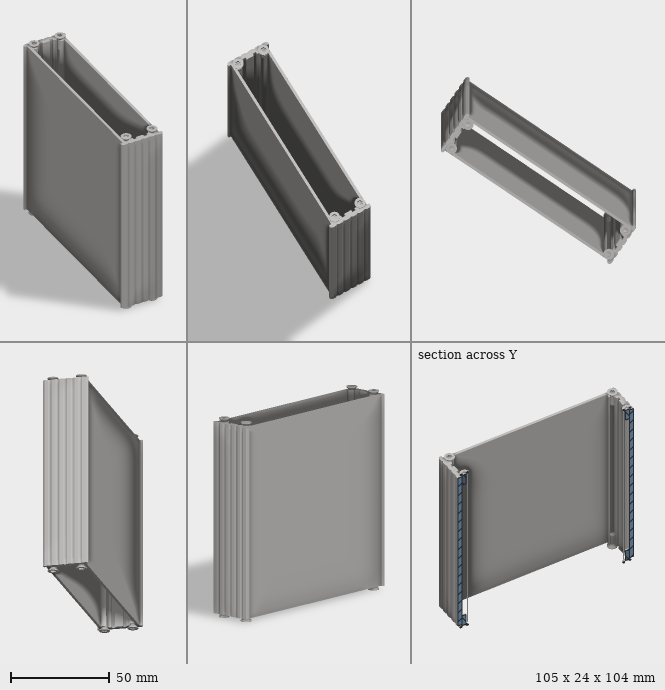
import cadquery as cq
import math

width = 105.0
depth = 24.0
height = 104.0
shell_height = 100.1
half_width = width / 2
half_depth = depth / 2

panel_recess = 1.5
panel_thickness = 1.5
wall_end_x = half_width - 2.0
wall_inner_x = half_width - 2.3
block_inner_x = half_width - 3.6
slot_inner_y = 2.1
slot_outer_y = 4.0
panel_outer_y = half_depth - panel_recess
panel_inner_y = panel_outer_y - panel_thickness

rib_count = 6
rib_pitch = depth / rib_count
rib_width = rib_pitch / 2
groove_floor = 0.4
groove_depth = 0.4
corner_radius = 0.5

hook_root_x = half_width - 1.3
hook_tip_x = half_width - 1.7
hook_inner_x = half_width - 2.1
hook_tip_y = 0.8
hook_bend_y = -0.4

screw_spacing_x = 97.0
screw_spacing_y = 15.0
screw_x = screw_spacing_x / 2
screw_y = screw_spacing_y / 2
shank_diameter = 2.7
screw_length = 8.0
head_diameter = 5.6
head_rim = 0.4
recess_diameter = 2.9
recess_depth = 0.9
recess_tip = 0.4
lobe_count = 6
lobe_notch_diameter = 0.6
port_diameter = 4.8
port_slit_width = 2.2
port_slit_angle = 60

LEFT, RIGHT = -1, 1


def prism(section):
    return section.extrude(shell_height / 2, both=True)


def rectangle(x0, x1, y0, y1):
    section = cq.Workplane("XY").center((x0 + x1) / 2, (y0 + y1) / 2)
    return prism(section.rect(abs(x1 - x0), abs(y1 - y0)))


def joint_lip(side):
    """Middle of the side wall that lies on the -Y side of the snap joint."""
    outline = [
        (half_width, 0),
        (hook_root_x, 0),
        (hook_tip_x, hook_tip_y),
        (hook_inner_x, hook_tip_y),
        (hook_inner_x, hook_bend_y),
        (hook_root_x, -slot_inner_y),
        (wall_inner_x, -slot_inner_y),
        (wall_inner_x, -slot_outer_y),
        (half_width, -slot_outer_y),
    ]
    return prism(cq.Workplane("XY").polyline([(side * x, y) for x, y in outline]).close())


def joint_block(side):
    """Block at the middle of the side wall, on the +Y side of the snap joint."""
    block = rectangle(side * block_inner_x, side * half_width, -slot_inner_y, slot_inner_y)
    return block.cut(joint_lip(side))


def wall_end(side):
    """End of the side wall beside and past the panel, bevelled off the last rib and rounded."""
    outer_x = half_width - groove_depth
    rib_edge_y = half_depth - rib_width / 2
    round_y = half_depth - corner_radius
    arc_inset = corner_radius * (1 - math.sqrt(0.5))
    section = (
        cq.Workplane("XY")
        .moveTo(side * wall_end_x, slot_outer_y)
        .lineTo(side * half_width, slot_outer_y)
        .lineTo(side * half_width, rib_edge_y)
        .lineTo(side * outer_x, round_y)
        .threePointArc(
            (side * (outer_x - arc_inset), half_depth - arc_inset),
            (side * (outer_x - corner_radius), half_depth),
        )
        .lineTo(side * (wall_end_x + corner_radius), half_depth)
        .threePointArc(
            (side * (wall_end_x + arc_inset), half_depth - arc_inset),
            (side * wall_end_x, round_y),
        )
        .close()
    )
    return prism(section)


def side_wall(side):
    """Side wall of the +Y shell, from the card slot to the wall end."""
    wall = rectangle(side * wall_inner_x, side * half_width, slot_inner_y, panel_inner_y)
    return wall.union(wall_end(side))


def screw_port(side):
    """Round port in the corner between wall and panel, with the block beside the card slot."""
    port = prism(cq.Workplane("XY").center(side * screw_x, screw_y).circle(port_diameter / 2))
    return port.union(rectangle(side * block_inner_x, side * wall_end_x, slot_outer_y, panel_inner_y))


def port_opening(side):
    """Screw hole along the port, with the slit that opens it to the inside of the case."""
    hole = prism(cq.Workplane("XY").circle(shank_diameter / 2))
    slit = rectangle(0, port_diameter, -port_slit_width / 2, port_slit_width / 2)
    slit_angle = -90 - side * (90 - port_slit_angle)
    slit = slit.rotate((0, 0, 0), (0, 0, 1), slit_angle)
    return hole.union(slit).translate((side * screw_x, screw_y, 0))


def groove(side, y):
    """Trapezoidal groove along one side, centred on y."""
    floor_x = half_width - groove_depth
    outline = [
        (half_width, y - rib_width / 2),
        (floor_x, y - groove_floor / 2),
        (floor_x, y + groove_floor / 2),
        (half_width, y + rib_width / 2),
    ]
    return prism(cq.Workplane("XY").polyline([(side * x, dy) for x, dy in outline]).close())


def make_shell():
    """The +Y shell: panel, two side walls, joint block on the left and joint lip on the right."""
    shell = rectangle(-wall_end_x, wall_end_x, panel_inner_y, panel_outer_y)
    for side in (LEFT, RIGHT):
        shell = shell.union(side_wall(side)).union(screw_port(side)).cut(port_opening(side))
    shell = shell.union(joint_block(LEFT))
    shell = shell.union(joint_lip(LEFT).rotate((0, 0, 0), (0, 0, 1), 180)).clean()
    for side in (LEFT, RIGHT):
        for index in range(1, rib_count):
            shell = shell.cut(groove(side, index * rib_pitch - half_depth))
    return shell


def make_screw():
    """Countersunk screw on the Z axis, top of the head at Z = 0, with a six-lobed recess."""
    head_radius = head_diameter / 2
    shank_radius = shank_diameter / 2
    profile = [
        (0, 0),
        (head_radius, 0),
        (head_radius, -head_rim),
        (shank_radius, -head_rim - (head_radius - shank_radius)),
        (shank_radius, -screw_length),
        (0, -screw_length),
    ]
    screw = cq.Workplane("XZ").polyline(profile).close().revolve(360, (0, 0), (0, 1))
    recess_radius = recess_diameter / 2
    recess = cq.Workplane("XY").circle(recess_radius).extrude(-recess_depth)
    recess_floor = cq.Vector(0, 0, -recess_depth)
    cone = cq.Solid.makeCone(recess_radius, 0, recess_tip, recess_floor, cq.Vector(0, 0, -1))
    recess = recess.union(cq.Workplane(cone))
    notches = (
        cq.Workplane("XY")
        .polarArray(recess_radius, 0, 360, lobe_count)
        .circle(lobe_notch_diameter / 2)
        .extrude(-recess_depth - recess_tip)
    )
    return screw.cut(recess.cut(notches))


back_shell = make_shell()
front_shell = back_shell.rotate((0, 0, 0), (0, 0, 1), 180)

top_screw = make_screw().translate((0, 0, height / 2))
screws = []
for screw in (top_screw, top_screw.rotate((0, 0, 0), (1, 0, 0), 180)):
    for x in (-screw_x, screw_x):
        for y in (-screw_y, screw_y):
            screws.append(screw.translate((x, y, 0)).val())

result = cq.Compound.makeCompound([back_shell.val(), front_shell.val(), *screws])